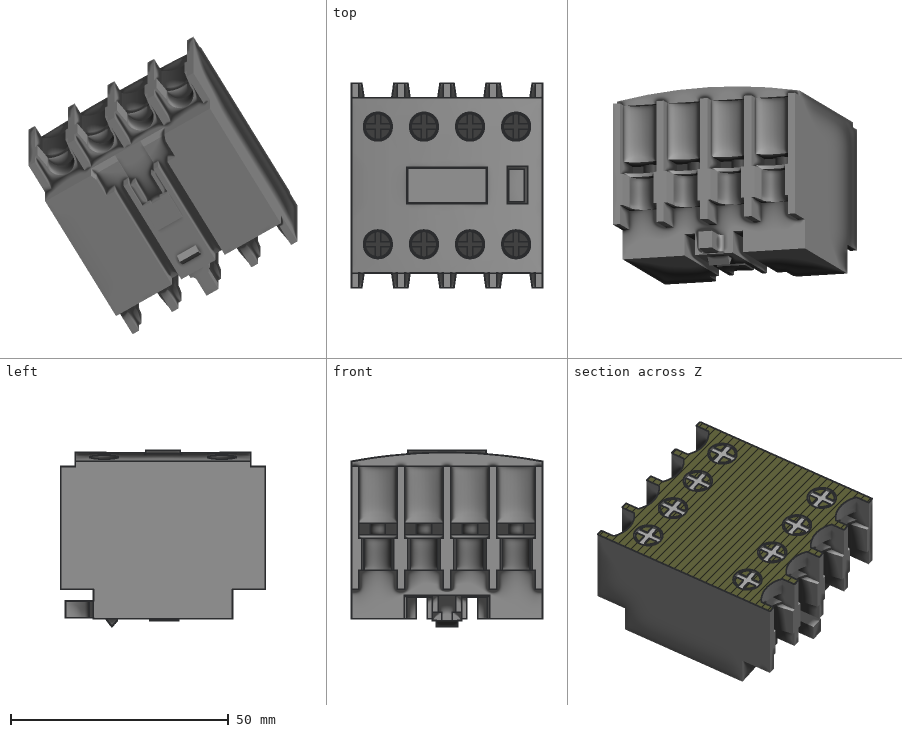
import cadquery as cq
import math

width = 43.9
rib_depth = 47.0
cap_depth = 40.3
base_depth = 32.0

rib_bottom_z = 6.77
seat_bottom_z = 11.2
seat_top_z = 18.5
plate_top_z = 19.3
gap_top_z = 21.9
rib_top_z = 35.0
cap_edge_z = 36.15
cap_crown_z = 38.2
label_top_z = 38.7

bay_pitch = 10.58
bay_width = 8.8
bay_arc_sagitta = 1.5
seat_mouth_half = 3.7
seat_radius = 3.2
seat_taper = math.radians(8.5)

screw_y = 13.5
screw_hole_diameter = 6.55
screw_head_diameter = 5.9
screw_shank_diameter = 3.5
screw_hole_floor_z = 24.0
screw_head_height = 3.0
cross_slot_width = 1.25
cross_slot_depth = 1.0

label_length = 18.0
label_width = 8.0
label_clearance = 0.22
label_recess_depth = 0.6
window_x = (13.8, 18.5)
window_y = (-4.2, 4.4)
window_floor_z = 35.5
indicator_x = (14.2, 17.7)
indicator_y = (-3.75, 3.75)
indicator_top_z = 36.6

notch_mouth_half = 9.8
notch_back_half = 9.2
notch_mouth_height = 5.4
notch_back_height = 5.0
notch_back_y = -10.0
notch_chamfer_depth = 1.5
slot_inner_x = 4.57
slot_outer_x = 7.03
lug_half = 3.38
lug_front_y = -9.0
lug_gap_half = 2.05
lug_bottom_z = 1.5
groove_depth = 0.5
plunger_y = (-3.63, 3.08)
plunger_bottom_z = -0.4
plunger_groove_half = 1.25
latch_half = 1.6
latch_z = (0.2, 4.13)
latch_tip_y = 22.4
latch_root_y = 16.9
latch_fillet = 1.0
wedge_half = 2.48
wedge_y = (10.5, 13.1)
wedge_tip_y = 11.75
wedge_shoulder_z = -0.4
wedge_tip_z = -1.8

bay_centers = [(i - 1.5) * bay_pitch for i in range(4)]
half_cap_depth = cap_depth / 2
half_base_depth = base_depth / 2
half_rib_depth = rib_depth / 2


def block(x_range, y_range, z_range):
    """Axis-aligned box given by its limits."""
    size = [r[1] - r[0] for r in (x_range, y_range, z_range)]
    corner = (x_range[0], y_range[0], z_range[0])
    return cq.Workplane("XY").box(*size, centered=False).translate(corner)


def centered_block(length, depth, z_range):
    """Box centred on the z axis."""
    return block((-length / 2, length / 2), (-depth / 2, depth / 2), z_range)


def cylinder(x, y, diameter, z_range):
    """Vertical cylinder."""
    height = z_range[1] - z_range[0]
    return cq.Workplane("XY").center(x, y).circle(diameter / 2).extrude(height).translate((0, 0, z_range[0]))


def on_both_sides(shape):
    """The shape together with its mirror image across y = 0."""
    return shape.union(shape.mirror("XZ"))


def make_housing():
    """Base, rib-deep upper block and crowned cap, before the bays are cut."""
    upper = (
        cq.Workplane("XZ")
        .moveTo(-width / 2, seat_bottom_z)
        .lineTo(width / 2, seat_bottom_z)
        .lineTo(width / 2, cap_edge_z)
        .threePointArc((0, cap_crown_z), (-width / 2, cap_edge_z))
        .close()
        .extrude(half_cap_depth, both=True)
    )
    ribs = centered_block(width, rib_depth, (rib_bottom_z, rib_top_z))
    base = centered_block(width, base_depth, (0, seat_bottom_z))
    return upper.union(ribs).union(base)


def make_bay_cut(x):
    """Everything removed from one front terminal bay, its screw shank kept standing."""
    bay_x = (x - bay_width / 2, x + bay_width / 2)
    outside_y = -half_rib_depth
    below_seat = block(bay_x, (outside_y, -half_base_depth), (rib_bottom_z, seat_bottom_z))

    joint_half = seat_radius * math.cos(seat_taper)
    joint_y = outside_y + (seat_mouth_half - joint_half) / math.tan(seat_taper)
    seat_back_y = joint_y + seat_radius * (1 + math.sin(seat_taper))
    seat = (
        cq.Workplane("XY")
        .moveTo(x - seat_mouth_half, outside_y)
        .lineTo(x - joint_half, joint_y)
        .threePointArc((x, seat_back_y), (x + joint_half, joint_y))
        .lineTo(x + seat_mouth_half, outside_y)
        .close()
        .extrude(seat_top_z - seat_bottom_z)
        .translate((0, 0, seat_bottom_z))
    )

    wall = (
        cq.Workplane("XY")
        .moveTo(bay_x[0], outside_y)
        .lineTo(bay_x[0], -half_cap_depth)
        .threePointArc((x, -half_cap_depth + bay_arc_sagitta), (bay_x[1], -half_cap_depth))
        .lineTo(bay_x[1], outside_y)
        .close()
        .extrude(rib_top_z - seat_top_z)
        .translate((0, 0, seat_top_z))
    )

    gap_z = (plate_top_z, gap_top_z)
    clamp_gap = block(bay_x, (-half_cap_depth, -screw_y), gap_z)
    shank = cylinder(x, -screw_y, screw_shank_diameter, gap_z)
    return below_seat.union(seat).union(wall).union(clamp_gap.cut(shank))


def make_screw_hole_cut(x):
    """Driver hole above a screw head, with the cross-slotted head left inside."""
    head_top_z = screw_hole_floor_z + screw_head_height
    hole = cylinder(x, -screw_y, screw_hole_diameter, (screw_hole_floor_z, label_top_z))
    head = cylinder(x, -screw_y, screw_head_diameter, (screw_hole_floor_z, head_top_z))
    slot_z = (head_top_z - cross_slot_depth, head_top_z)
    cross = centered_block(screw_head_diameter, cross_slot_width, slot_z)
    cross = cross.union(centered_block(cross_slot_width, screw_head_diameter, slot_z))
    return hole.cut(head.cut(cross.translate((x, -screw_y, 0))))


def cut_terminals(body):
    """Cut all eight terminal bays and their screw holes."""
    for x in bay_centers:
        body = body.cut(on_both_sides(make_bay_cut(x)))
        body = body.cut(on_both_sides(make_screw_hole_cut(x)))
    return body


def add_label(body):
    """Raised label plate standing in a slightly larger recess."""
    recess_floor_z = cap_crown_z - label_recess_depth
    recess = centered_block(
        label_length + 2 * label_clearance,
        label_width + 2 * label_clearance,
        (recess_floor_z, label_top_z),
    )
    plate = centered_block(label_length, label_width, (recess_floor_z, label_top_z))
    return body.cut(recess).union(plate)


def add_window(body):
    """Indicator window with a block standing on its floor."""
    opening = block(window_x, window_y, (window_floor_z, cap_crown_z))
    indicator = block(indicator_x, indicator_y, (window_floor_z, indicator_top_z))
    return body.cut(opening.cut(indicator))


def cut_underside(body):
    """Front notch with a chamfered mouth, and two slots running through along y."""
    mouth = (
        cq.Workplane("XZ", origin=(0, -half_base_depth, 0))
        .rect(2 * notch_mouth_half, 2 * notch_mouth_height)
        .workplane(offset=-notch_chamfer_depth)
        .rect(2 * notch_back_half, 2 * notch_back_height)
        .loft(combine=True)
    )
    notch_x = (-notch_back_half, notch_back_half)
    notch = block(notch_x, (-half_base_depth, notch_back_y), (0, notch_back_height))
    body = body.cut(mouth).cut(notch)
    through_y = (-half_base_depth, half_base_depth)
    for slot_x in ((-slot_outer_x, -slot_inner_x), (slot_inner_x, slot_outer_x)):
        body = body.cut(block(slot_x, through_y, (0, notch_back_height)))
    return body


def add_plunger(body):
    """Channel from the notch to the plunger, passing under two lugs to the plunger foot."""
    lug_x = (-lug_half, lug_half)
    groove_back_y = plunger_y[0] + groove_depth
    channel = block(lug_x, (-half_base_depth, lug_front_y), (0, notch_mouth_height))
    under_lugs = block(lug_x, (lug_front_y, plunger_y[0]), (0, lug_bottom_z))
    between_lugs = block(
        (-lug_gap_half, lug_gap_half),
        (lug_front_y, groove_back_y),
        (lug_bottom_z, notch_mouth_height),
    )
    foot = block(lug_x, plunger_y, (plunger_bottom_z, lug_bottom_z))
    foot_groove = block(
        (-plunger_groove_half, plunger_groove_half),
        (plunger_y[0], groove_back_y),
        (plunger_bottom_z, lug_bottom_z),
    )
    return body.cut(channel).cut(under_lugs).cut(between_lugs).union(foot).cut(foot_groove)


def add_latch(body):
    """Latch tongue on the back, flaring through fillets into a wider root."""
    root_half = latch_half + latch_fillet
    fillet_end_y = latch_root_y + latch_fillet
    fillet_mid = latch_fillet * (1 - math.sqrt(0.5))
    latch = (
        cq.Workplane("XY")
        .moveTo(-root_half, half_base_depth)
        .lineTo(-root_half, latch_root_y)
        .threePointArc((-latch_half - fillet_mid, latch_root_y + fillet_mid), (-latch_half, fillet_end_y))
        .lineTo(-latch_half, latch_tip_y)
        .lineTo(latch_half, latch_tip_y)
        .lineTo(latch_half, fillet_end_y)
        .threePointArc((latch_half + fillet_mid, latch_root_y + fillet_mid), (root_half, latch_root_y))
        .lineTo(root_half, half_base_depth)
        .close()
        .extrude(latch_z[1] - latch_z[0])
        .translate((0, 0, latch_z[0]))
    )
    return body.union(latch)


def add_wedge(body):
    """Snap wedge below the base."""
    wedge = (
        cq.Workplane("YZ")
        .moveTo(wedge_y[0], 0)
        .lineTo(wedge_y[0], wedge_shoulder_z)
        .lineTo(wedge_tip_y, wedge_tip_z)
        .lineTo(wedge_y[1], 0)
        .close()
        .extrude(wedge_half, both=True)
    )
    return body.union(wedge)


body = make_housing()
body = cut_terminals(body)
body = add_label(body)
body = add_window(body)
body = cut_underside(body)
body = add_plunger(body)
body = add_latch(body)
result = add_wedge(body)